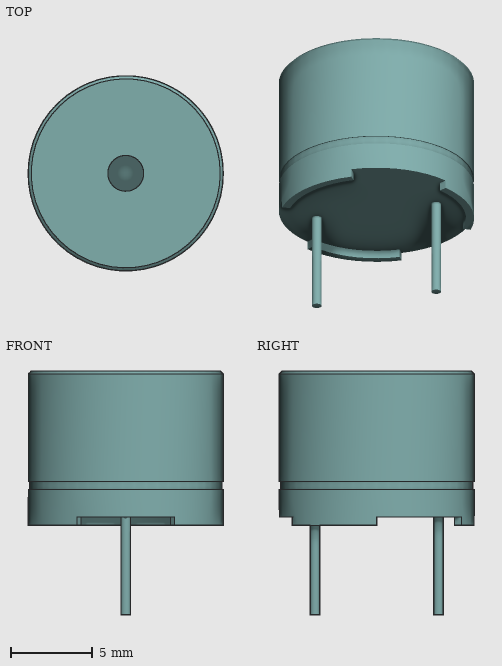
import cadquery as cq
import math

total_height = 15.0
body_diameter = 12.0
body_bottom = 5.5
body_radius = body_diameter / 2

foot_height = 0.51
foot_wall = 0.5
foot_count = 3
gap_pitch_angle = 360 / foot_count
gap_span_angle = gap_pitch_angle / 2
first_gap_angle = -90
base_bottom = body_bottom + foot_height

groove_diameter = 11.84
groove_bottom = body_bottom + 2.19
groove_width = 0.51

edge_chamfer = 0.2
sound_hole_diameter = 2.2
sound_hole_depth = 3.0

pin_diameter = 0.6
pin_offset = 3.8

cut_margin = 0.15


def disc(diameter, bottom, height):
    """Solid cylinder on the Z axis."""
    return cq.Workplane("XY").workplane(offset=bottom).circle(diameter / 2).extrude(height)


def make_body():
    """Chamfered cylinder with an outer groove and a blind sound hole."""
    body = disc(body_diameter, body_bottom, total_height - body_bottom)
    body = body.faces(">Z").edges().chamfer(edge_chamfer)
    groove = disc(body_diameter + 2 * cut_margin, groove_bottom, groove_width)
    groove = groove.cut(disc(groove_diameter, groove_bottom, groove_width))
    sound_hole = disc(sound_hole_diameter, total_height - sound_hole_depth, sound_hole_depth)
    return body.cut(groove).cut(sound_hole)


def make_gap(middle_angle):
    """Wedge with its tip on the Z axis that opens a gap between two feet."""
    half_angle = math.radians(gap_span_angle / 2)
    reach = body_radius + cut_margin
    half_width = reach * math.tan(half_angle)
    wedge = (
        cq.Workplane("XY")
        .workplane(offset=body_bottom)
        .polyline([(0, 0), (reach, -half_width), (reach, half_width)])
        .close()
        .extrude(foot_height)
    )
    return wedge.rotate((0, 0, 0), (0, 0, 1), middle_angle)


result = make_body()

result = result.cut(disc(body_diameter - 2 * foot_wall, body_bottom, foot_height))
for index in range(foot_count):
    result = result.cut(make_gap(first_gap_angle + index * gap_pitch_angle))

for side in (-1, 1):
    pin = disc(pin_diameter, 0, base_bottom).translate((0, side * pin_offset, 0))
    result = result.union(pin)